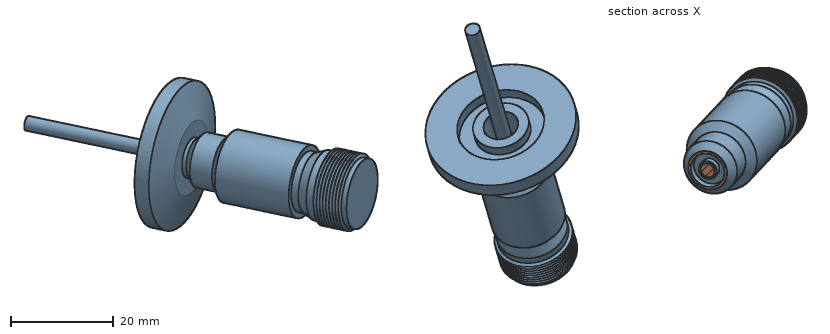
import cadquery as cq


pin_radius = 3.0 / 2

flange_radius = 30.0 / 2
flange_face_x = 30.4
flange_rim_end_x = 33.55
flange_back_x = 35.5
flange_back_radius = 7.55

neck_radius = 4.1
neck_end_x = 36.4
tube_radius = 11.1 / 2
tube_start_x = 37.9
tube_end_x = 42.7
housing_radius = 7.3
housing_start_x = 44.2
housing_end_x = 60.2

collar_radius = 6.2
collar_end_x = 61.7
connector_radius = 14.15 / 2
connector_start_x = 63.9
connector_end_x = 72.6
thread_crest_radius = 7.8
thread_pitch = 0.675
thread_crest_count = 9
thread_start_x = 65.45

recess_radius = 8.65
recess_depth = 2.4
lip_radius = tube_radius
lip_setback = 0.2

bore_radius = 6.9 / 2
bore_end_x = tube_start_x
sleeve_radius = 1.9
sleeve_length = 1.45


def cylinder(radius, start_x, end_x):
    """Solid cylinder along X between two stations."""
    return cq.Workplane("YZ").workplane(offset=start_x).circle(radius).extrude(end_x - start_x)


def outer_body():
    """Flange, tube, housing and threaded connector as one revolved outline."""
    outline = (
        cq.Workplane("XY")
        .moveTo(flange_face_x, 0)
        .lineTo(flange_face_x, flange_radius)
        .lineTo(flange_rim_end_x, flange_radius)
        .lineTo(flange_back_x, flange_back_radius)
        .lineTo(flange_back_x, neck_radius)
        .lineTo(neck_end_x, neck_radius)
        .lineTo(tube_start_x, tube_radius)
        .lineTo(tube_end_x, tube_radius)
        .lineTo(housing_start_x, housing_radius)
        .lineTo(housing_end_x, housing_radius)
        .lineTo(housing_end_x, collar_radius)
        .lineTo(collar_end_x, collar_radius)
        .lineTo(connector_start_x, connector_radius)
        .lineTo(thread_start_x, connector_radius)
    )
    for crest in range(thread_crest_count):
        root_x = thread_start_x + crest * thread_pitch
        outline = outline.lineTo(root_x + thread_pitch / 2, thread_crest_radius)
        outline = outline.lineTo(root_x + thread_pitch, connector_radius)
    outline = outline.lineTo(connector_end_x, connector_radius).lineTo(connector_end_x, 0).close()
    return outline.revolve(360, (0, 0, 0), (1, 0, 0))


def front_recess():
    """Recess in the flange face, with the lip standing inside it."""
    recess_floor_x = flange_face_x + recess_depth
    recess = cylinder(recess_radius, flange_face_x, recess_floor_x)
    lip = cylinder(lip_radius, flange_face_x + lip_setback, recess_floor_x)
    return recess.cut(lip)


bore = cylinder(bore_radius, flange_face_x, bore_end_x)
sleeve = cylinder(sleeve_radius, bore_end_x - sleeve_length, bore_end_x)
pin = cylinder(pin_radius, 0, bore_end_x)

result = outer_body().cut(front_recess()).cut(bore).union(sleeve).union(pin)